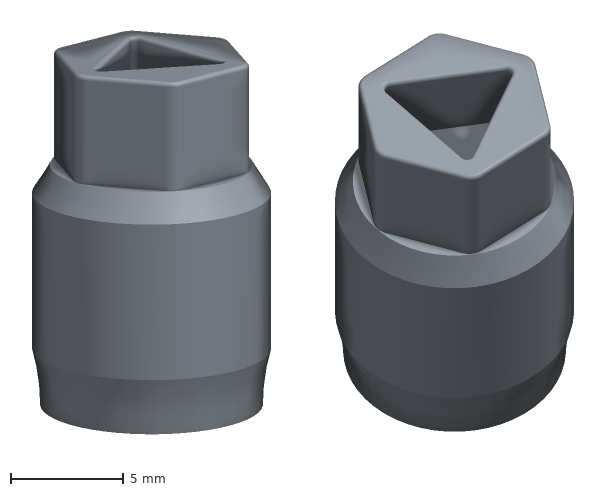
import cadquery as cq
import math

total_height = 16.11
body_diameter = 10.66

head_height = 5.01
shoulder_height = 1.29
shoulder_top_diameter = 9.07
foot_height = 2.61
foot_diameter = 9.94

across_flats = 8.0
hex_corner_radius = 0.8
edge_round = 0.2

pocket_inradius = 1.77
pocket_corner_radius = 0.25
pocket_depth = 3.45

body_top = total_height - head_height
shoulder_start = body_top - shoulder_height


def make_housing():
    """Revolved body whose foot is a concave arc, upright at the bottom."""
    body_radius = body_diameter / 2
    foot_radius = foot_diameter / 2
    flare = body_radius - foot_radius
    arc_radius = (foot_height**2 + flare**2) / (2 * flare)
    half_angle = math.asin(foot_height / arc_radius) / 2
    arc_middle = (
        foot_radius + arc_radius * (1 - math.cos(half_angle)),
        arc_radius * math.sin(half_angle),
    )
    return (
        cq.Workplane("XZ")
        .lineTo(foot_radius, 0)
        .threePointArc(arc_middle, (body_radius, foot_height))
        .lineTo(body_radius, shoulder_start)
        .lineTo(shoulder_top_diameter / 2, body_top)
        .lineTo(0, body_top)
        .close()
        .revolve(360, (0, 0), (0, 1))
    )


def rounded_prism(sides, inradius, corner_radius, bottom, height):
    """Regular prism with one corner on +X and rounded upright edges."""
    corner_circle_diameter = 2 * inradius / math.cos(math.pi / sides)
    return (
        cq.Workplane("XY", origin=(0, 0, bottom))
        .polygon(sides, corner_circle_diameter)
        .extrude(height)
        .edges("|Z")
        .fillet(corner_radius)
    )


def make_head():
    """Hexagonal head with a blind triangular pocket and rounded top edges."""
    head = rounded_prism(6, across_flats / 2, hex_corner_radius, body_top, head_height)
    pocket_floor = total_height - pocket_depth
    pocket = rounded_prism(3, pocket_inradius, pocket_corner_radius, pocket_floor, pocket_depth)
    return head.cut(pocket).faces(">Z").edges().fillet(edge_round)


housing = make_housing()
head = make_head()

result = cq.Compound.makeCompound([housing.val(), head.val()])